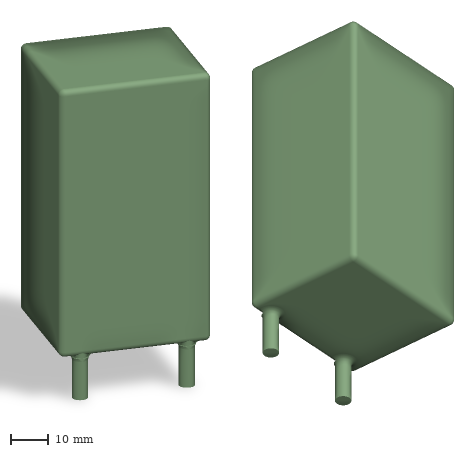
import cadquery as cq
import math

case_width = 36.83
case_depth = 42.545
case_height = 77.47
edge_radius = 1.5875

pin_radius = 2.2
pin_length = 12.7
pin_spacing = 30.0
flare_radius = edge_radius
pin_side_gap = 0.05
case_side_x = case_width / 2
pin_x = case_side_x - pin_side_gap - pin_radius

relief_start_x = case_side_x - edge_radius
relief_height = 0.65
neck_inset = 0.15
neck_radius = pin_radius - neck_inset


def make_case():
    block = cq.Workplane("XY").box(case_width, case_depth, case_height, centered=(True, True, False))
    return block.edges().fillet(edge_radius)


def make_flared_pin():
    """Pin on the Z axis that flares out to the bottom face along a quarter circle."""
    arc_inset = flare_radius * (1 - math.sqrt(0.5))
    profile = (
        cq.Workplane("XZ")
        .moveTo(0, -pin_length)
        .lineTo(pin_radius, -pin_length)
        .lineTo(pin_radius, -flare_radius)
        .threePointArc((pin_radius + arc_inset, -arc_inset), (pin_radius + flare_radius, 0))
        .lineTo(0, 0)
        .close()
    )
    return profile.revolve(360, (0, 0, 0), (0, 1, 0))


def side_block(start_x, bottom_z):
    """Block running from start_x toward +X and from bottom_z up to Z = 0, as wide as a flared pin."""
    flare_diameter = 2 * (pin_radius + flare_radius)
    return (
        cq.Workplane("XY", origin=(start_x, 0, bottom_z))
        .box(flare_diameter, flare_diameter, -bottom_z, centered=(False, True, False))
    )


def make_pin():
    """Flared pin with its +X side trimmed, and a neck that reaches into the rounded case edge."""
    neck = (
        cq.Workplane("XY")
        .workplane(offset=-flare_radius)
        .circle(neck_radius)
        .extrude(flare_radius + edge_radius)
    )
    relief = side_block(relief_start_x - pin_x, -relief_height)
    overhang = side_block(pin_radius, -flare_radius)
    return make_flared_pin().cut(relief).cut(overhang).union(neck)


result = make_case()
for side in (-1, 1):
    result = result.union(make_pin().translate((pin_x, side * pin_spacing / 2, 0)))